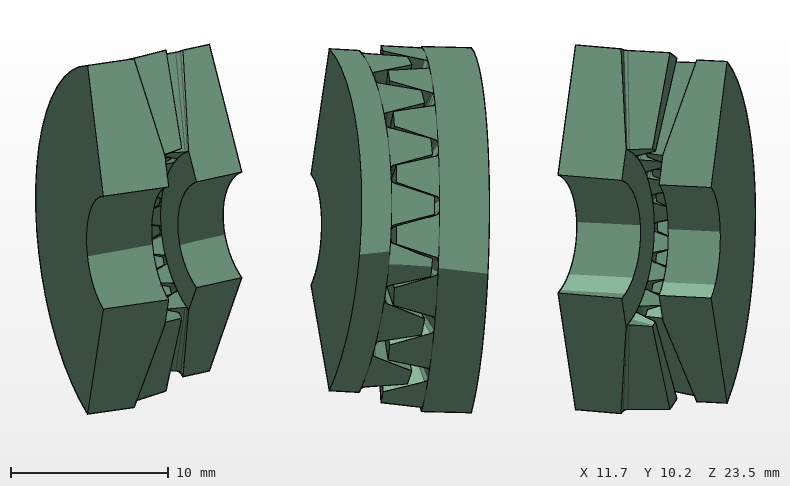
import cadquery as cq
import math

OVERALL_HEIGHT = 23.5
TOOTH_COUNT_FULL = 20
FRONT_TEETH = 8
BACK_TEETH = 7
TILT = 10.0
BORE_RADIUS = 4.0
TOOTH_INNER_RADIUS = 6.02
OUTER_FLARE = 0.25
INNER_FLARE = 0.28

BACK_BASE = 4.77
BACK_TIP = 0.0
BACK_ROOT = 2.77
FRONT_BASE = 5.71
FRONT_TIP = 0.25
FRONT_ROOT = 2.52

ROOT_HALF_WIDTH = 0.55
FLANK_ANGLE = 16.8
ROOT_ROUND = 0.28

PITCH = 360.0 / TOOTH_COUNT_FULL
FRONT_HALF_ANGLE = FRONT_TEETH * PITCH / 2
OUTER_RADIUS = OVERALL_HEIGHT / 2 / math.sin(math.radians(FRONT_HALF_ANGLE))
GAP_INNER_RATIO = 0.3
GAP_OUTER_RATIO = 1.2
TIP_CLEARANCE = 0.24


def ring_sector(half_angle, base, tip, root_depth):
    """Ring sector centred on -X, with an uncut tooth crown whose inner and outer faces flare outward."""
    hub_depth = root_depth * TOOTH_INNER_RADIUS / OUTER_RADIUS
    profile = [
        (BORE_RADIUS, -base),
        (OUTER_RADIUS, -base),
        (OUTER_RADIUS, -root_depth),
        (OUTER_RADIUS + OUTER_FLARE, tip),
        (TOOTH_INNER_RADIUS + INNER_FLARE, tip),
        (TOOTH_INNER_RADIUS, -hub_depth),
        (BORE_RADIUS, -hub_depth),
    ]
    return (
        cq.Workplane("XZ")
        .polyline(profile)
        .close()
        .revolve(2 * half_angle, (0, 0), (0, 1))
        .rotate((0, 0, 0), (0, 0, 1), 180 - half_angle)
    )


def gap_section(ratio, root_depth, tip):
    """Gap section at a fraction of the outer radius; every size shrinks towards the apex."""
    flank = math.radians(FLANK_ANGLE)
    top = tip / GAP_INNER_RATIO + TIP_CLEARANCE
    top_half_width = ROOT_HALF_WIDTH + (root_depth + top) * math.tan(flank)
    turn = (math.pi / 2 - flank) / 2
    setback = ROOT_ROUND * math.tan(turn)
    flat_half_width = ROOT_HALF_WIDTH - setback
    flank_end = (ROOT_HALF_WIDTH + setback * math.sin(flank), setback * math.cos(flank) - root_depth)
    arc_middle = (
        flat_half_width + ROOT_ROUND * math.sin(turn),
        ROOT_ROUND * (1 - math.cos(turn)) - root_depth,
    )

    def right(point):
        return (point[0] * ratio, point[1] * ratio)

    def left(point):
        return (-point[0] * ratio, point[1] * ratio)

    plane = cq.Plane(origin=(-OUTER_RADIUS * ratio, 0, 0), xDir=(0, 1, 0), normal=(1, 0, 0))
    return (
        cq.Workplane(plane)
        .moveTo(*left((top_half_width, top)))
        .lineTo(*left(flank_end))
        .threePointArc(left(arc_middle), left((flat_half_width, -root_depth)))
        .lineTo(*right((flat_half_width, -root_depth)))
        .threePointArc(right(arc_middle), right(flank_end))
        .lineTo(*right((top_half_width, top)))
        .close()
        .wires()
        .val()
    )


def gap_cutter(root_depth, tip):
    """Tapered tooth gap along -X."""
    sections = [gap_section(ratio, root_depth, tip) for ratio in (GAP_OUTER_RATIO, GAP_INNER_RATIO)]
    return cq.Workplane(cq.Solid.makeLoft(sections, True))


def gear_sector(teeth, base, tip, root_depth):
    """Face gear sector about +Z with its apex at the origin; both ends lie in the middle of a gap."""
    half_angle = teeth * PITCH / 2
    gear = ring_sector(half_angle, base, tip, root_depth)
    cutter = gap_cutter(root_depth, tip)
    for i in range(teeth + 1):
        gear = gear.cut(cutter.rotate((0, 0, 0), (0, 0, 1), i * PITCH - half_angle))
    return gear


back_gear = gear_sector(BACK_TEETH, BACK_BASE, BACK_TIP, BACK_ROOT).rotate((0, 0, 0), (1, 0, 0), 90)

front_gear = (
    gear_sector(FRONT_TEETH, FRONT_BASE, FRONT_TIP, FRONT_ROOT)
    .rotate((0, 0, 0), (1, 0, 0), -90)
    .rotate((0, 0, 0), (0, 0, 1), -TILT)
)

result = cq.Compound.makeCompound([back_gear.solids().val(), front_gear.solids().val()])